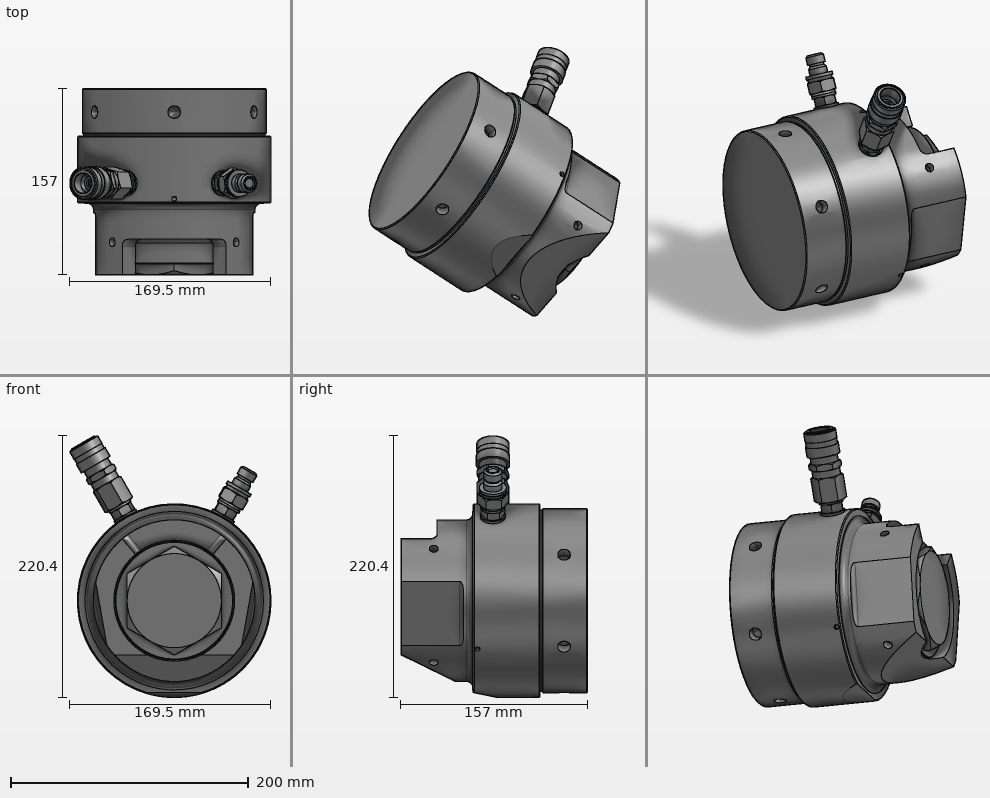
import cadquery as cq
import math

LENGTH = 157.0
OVERCUT = 11.0

COLLAR_RADIUS = 77.5
COLLAR_FRONT = 118.5
RELIEF_RADIUS = 76.5
BARREL_RADIUS = 81.5
BARREL_REAR = 116.8
BARREL_FRONT = 60.6
LAND_RADIUS = 75.2
LAND_FRONT = 60.2
NOSE_RADIUS = 68.1
NOSE_FILLET = 5.3
EDGE_CHAMFER = 0.9

BARREL_CUT_REAR = 81.0
BARREL_CUT_DEPTH = 4.2
NOSE_CUT_REAR = 45.9
NOSE_CUT_Z = -45.6

FLAT_DISTANCE = 62.5
FLAT_LENGTH = 52.5
FLAT_FILLET = 3.3
FLAT_TILT = 10.0

BORE_RADIUS = 51.0
BORE_DEPTH = 26.7
NUT_RADIUS = 49.8
NUT_FRONT = 9.3
NUT_CHAMFER = 0.7
HEX_FLAT_RADIUS = 39.7
HEX_CORNER_RADIUS = HEX_FLAT_RADIUS / math.cos(math.radians(30))
HEX_CHAMFER_ANGLE = 30.0

WINDOW_HALF_ANGLE = 40.0
WINDOW_DEPTH = 30.0
WINDOW_FILLET = 6.0
WINDOW_INNER_RADIUS = 22.0

COLLAR_HOLE_ANGLES = [0, 60, 120, 180, 240, 300]
COLLAR_HOLE_Y = 137.1
COLLAR_HOLE_DIAMETER = 10.5
COLLAR_HOLE_DEPTH = 11.0
NOSE_HOLE_ANGLES = [-140, -50, 50, 140]
NOSE_HOLE_Y = 27.3
NOSE_HOLE_DIAMETER = 7.3
NOSE_HOLE_DEPTH = 8.8
PIN_HOLE_ANGLES = [0, 120, 240]
PIN_HOLE_Y = 64.2
PIN_HOLE_DIAMETER = 4.0
PIN_HOLE_DEPTH = 3.3
DRILL_POINT_ANGLE = 118.0

FITTING_Y = 77.2
FITTING_LEAN = 30.0
FITTING_ROOT = 75.0
HEX_EDGE_BREAK_ANGLE = 30.0
FITTING_CORE_RADIUS = 7.7

SEAT_RADIUS = 10.5
SEAT_TOP = 83.1
STUB_HEX_RADIUS = 10.1
STUB_HEX_TOP = 90.5
STUB_RING_RADIUS = 10.4
STUB_TOP = 92.5

COUPLER_STUB_TURN = -15.0
COUPLER_HEX_TURN = 14.0
COUPLER_HEX_RADIUS = 13.9
LONG_HEX_TOP = 114.0
SHORT_HEX_BASE = 120.0
SHORT_HEX_TOP = 125.9
COUPLER_BODY_RADIUS = 12.0
COUPLER_NECK_RADIUS = 11.7
SLEEVE_BASE = 132.3
SLEEVE_GRIP_RADIUS = 14.0
SLEEVE_GRIP_TOP = 140.7
SLEEVE_GROOVE_RADIUS = 13.5
SLEEVE_GROOVE_TOP = 145.3
SLEEVE_RADIUS = 13.7
SLEEVE_BEVEL_BASE = 152.3
SLEEVE_FACE = 153.0
SLEEVE_FACE_RADIUS = 12.5
RIM_RADIUS = 11.2
RIM_TOP = 153.9
SOCKET_RADIUS = 8.4
SOCKET_FLOOR = 140.7
SOCKET_FLOOR_BEVEL = 2.2
SOCKET_MOUTH_BEVEL = 0.5
VALVE_RADIUS = 3.0
VALVE_HEIGHT = 1.8
VALVE_HOLE_DIAMETER = 3.0
VALVE_HOLE_DEPTH = 1.0

NIPPLE_TURN = 4.0
NIPPLE_HEX_RADIUS = 13.0
NIPPLE_HEX_BASE = 94.5
NIPPLE_HEX_TOP = 104.5
NIPPLE_BODY_RADIUS = 9.7
STOP_CONE_RADIUS = 10.1
STOP_RADIUS = 11.5
STOP_BASE = 107.4
STOP_TOP = 110.0
PLUG_RADIUS = 7.7
LATCH_SHOULDER = 115.3
LATCH_RADIUS = 6.2
LATCH_BASE = 117.3
LATCH_TOP = 119.3
PLUG_BEVEL_BASE = 125.7
PLUG_FACE_RADIUS = 6.0
PLUG_TOP = 127.2
RECESS_FLOOR_RADIUS = 4.0
RECESS_MOUTH_RADIUS = 4.9
RECESS_DEPTH = 1.0


def revolved(plane, points):
    """Revolves an outline about the plane's own vertical axis: Y for "XY", Z for "XZ"."""
    return cq.Workplane(plane).polyline(points).close().revolve(360, (0, 0, 0), (0, 1, 0))


def disc(radius, front, rear):
    """Cylinder about the main axis."""
    return cq.Workplane("XZ", origin=(0, rear, 0)).circle(radius).extrude(rear - front)


def body():
    collar = disc(COLLAR_RADIUS, COLLAR_FRONT, LENGTH).edges().chamfer(EDGE_CHAMFER)
    relief = disc(RELIEF_RADIUS, BARREL_REAR, COLLAR_FRONT)
    barrel = disc(BARREL_RADIUS, BARREL_FRONT, BARREL_REAR).edges().chamfer(EDGE_CHAMFER)
    cove_radius = NOSE_RADIUS + NOSE_FILLET
    cove_front = LAND_FRONT - NOSE_FILLET
    nose = (
        cq.Workplane("XY")
        .lineTo(NOSE_RADIUS, 0)
        .lineTo(NOSE_RADIUS, cove_front)
        .radiusArc((cove_radius, LAND_FRONT), NOSE_FILLET)
        .lineTo(LAND_RADIUS, LAND_FRONT)
        .lineTo(LAND_RADIUS, BARREL_FRONT)
        .lineTo(0, BARREL_FRONT)
        .close()
        .revolve(360, (0, 0, 0), (0, 1, 0))
    )
    return collar.union(relief).union(barrel).union(nose)


def underside_cut(front, front_z, rear, rear_z):
    """Removes what lies below the sloping line from front to rear."""
    floor = -BARREL_RADIUS - OVERCUT
    return (
        cq.Workplane("YZ")
        .polyline([(front, front_z), (rear, rear_z), (rear, floor), (front, floor)])
        .close()
        .extrude(BARREL_RADIUS, both=True)
    )


def spanner_flat(side):
    """Cutter for one flat; side is +1 for +X and -1 for -X."""
    thickness = OVERCUT + NOSE_RADIUS - FLAT_DISTANCE
    cutter = (
        cq.Workplane("XY")
        .box(thickness, FLAT_LENGTH, 2 * NOSE_RADIUS, centered=(False, False, True))
        .edges("<X and >Y")
        .fillet(FLAT_FILLET)
        .translate((FLAT_DISTANCE, 0, 0))
        .rotate((0, 0, 0), (0, 1, 0), FLAT_TILT)
    )
    return cutter if side > 0 else cutter.mirror("YZ")


def window():
    """Sector-shaped cutter whose walls run radially."""
    reach = NOSE_RADIUS + OVERCUT
    slope = math.tan(math.radians(WINDOW_HALF_ANGLE))
    low = WINDOW_INNER_RADIUS
    outline = [(-low * slope, low), (-reach * slope, reach), (reach * slope, reach), (low * slope, low)]
    return (
        cq.Workplane("XZ", origin=(0, WINDOW_DEPTH, 0))
        .polyline(outline)
        .close()
        .extrude(WINDOW_DEPTH + OVERCUT)
        .faces(">Y")
        .edges("not |X")
        .fillet(WINDOW_FILLET)
        .cut(disc(BORE_RADIUS, -OVERCUT, WINDOW_DEPTH))
    )


def nut():
    shoulder = disc(NUT_RADIUS, NUT_FRONT, BORE_DEPTH).faces("<Y").edges().chamfer(NUT_CHAMFER)
    hexagon = (
        cq.Workplane("XZ", origin=(0, NUT_FRONT, 0))
        .transformed(rotate=(0, 0, 90))
        .polygon(6, 2 * HEX_CORNER_RADIUS)
        .extrude(NUT_FRONT)
    )
    cone_spread = NUT_FRONT * math.tan(math.radians(90 - HEX_CHAMFER_ANGLE))
    cone_base = HEX_FLAT_RADIUS + cone_spread
    cone = revolved("XY", [(0, 0), (HEX_FLAT_RADIUS, 0), (cone_base, NUT_FRONT), (0, NUT_FRONT)])
    return shoulder.union(hexagon.intersect(cone))


def radial_holes(angles, y, diameter, depth, surface_radius):
    """Blind drilled holes pointing at the main axis."""
    radius = diameter / 2
    bottom = surface_radius - depth
    tip = bottom - radius / math.tan(math.radians(DRILL_POINT_ANGLE / 2))
    top = surface_radius + OVERCUT
    drill = revolved("XZ", [(0, tip), (radius, bottom), (radius, top), (0, top)]).translate((0, y, 0))
    holes = cq.Workplane("XY")
    for angle in angles:
        holes = holes.add(drill.rotate((0, 0, 0), (0, 1, 0), angle))
    return holes.combine()


def turned(points):
    """Solid of revolution about Z from (radius, height) points, closed along the axis."""
    return revolved("XZ", [(0, points[0][1])] + points + [(0, points[-1][1])])


def fitting_hex(corner_radius, low, high, turn):
    """Hex section with broken corners; turn is the angle of one corner from -Y toward +X."""
    flat_radius = corner_radius * math.cos(math.radians(30))
    drop = (corner_radius - flat_radius) * math.tan(math.radians(HEX_EDGE_BREAK_ANGLE))
    prism = (
        cq.Workplane("XY", origin=(0, 0, low))
        .transformed(rotate=(0, 0, turn - 90))
        .polygon(6, 2 * corner_radius)
        .extrude(high - low)
    )
    envelope = turned(
        [(flat_radius, low), (corner_radius, low + drop), (corner_radius, high - drop), (flat_radius, high)]
    )
    return prism.intersect(envelope)


def place_fitting(fitting, lean):
    return fitting.rotate((0, 0, 0), (0, 1, 0), lean).translate((0, FITTING_Y, 0))


def stub(hex_turn):
    """Seat, small hex and ring that carry a fitting on the barrel."""
    core = turned([
        (SEAT_RADIUS, FITTING_ROOT),
        (SEAT_RADIUS, SEAT_TOP),
        (FITTING_CORE_RADIUS, SEAT_TOP),
        (FITTING_CORE_RADIUS, STUB_HEX_TOP),
        (STUB_RING_RADIUS, STUB_HEX_TOP),
        (STUB_RING_RADIUS, STUB_TOP),
    ])
    return core.union(fitting_hex(STUB_HEX_RADIUS, SEAT_TOP, STUB_HEX_TOP, hex_turn))


def coupler():
    """Quick-coupling socket."""
    core = turned([
        (COUPLER_BODY_RADIUS, STUB_TOP),
        (COUPLER_BODY_RADIUS, SHORT_HEX_BASE),
        (COUPLER_NECK_RADIUS, SHORT_HEX_BASE),
        (COUPLER_NECK_RADIUS, SLEEVE_BASE),
        (SLEEVE_GRIP_RADIUS, SLEEVE_BASE),
        (SLEEVE_GRIP_RADIUS, SLEEVE_GRIP_TOP),
        (SLEEVE_GROOVE_RADIUS, SLEEVE_GRIP_TOP),
        (SLEEVE_GROOVE_RADIUS, SLEEVE_GROOVE_TOP),
        (SLEEVE_RADIUS, SLEEVE_GROOVE_TOP),
        (SLEEVE_RADIUS, SLEEVE_BEVEL_BASE),
        (SLEEVE_FACE_RADIUS, SLEEVE_FACE),
        (RIM_RADIUS, SLEEVE_FACE),
        (RIM_RADIUS, RIM_TOP),
    ])
    socket = turned([
        (SOCKET_RADIUS - SOCKET_FLOOR_BEVEL, SOCKET_FLOOR),
        (SOCKET_RADIUS, SOCKET_FLOOR + SOCKET_FLOOR_BEVEL),
        (SOCKET_RADIUS, RIM_TOP - SOCKET_MOUTH_BEVEL),
        (SOCKET_RADIUS + SOCKET_MOUTH_BEVEL, RIM_TOP),
    ])
    valve_tip = (
        cq.Workplane("XY", origin=(0, 0, SOCKET_FLOOR))
        .circle(VALVE_RADIUS)
        .extrude(VALVE_HEIGHT)
        .faces(">Z")
        .workplane()
        .hole(VALVE_HOLE_DIAMETER, VALVE_HOLE_DEPTH)
    )
    return (
        stub(COUPLER_STUB_TURN)
        .union(core)
        .union(fitting_hex(COUPLER_HEX_RADIUS, STUB_TOP, LONG_HEX_TOP, COUPLER_HEX_TURN))
        .union(fitting_hex(COUPLER_HEX_RADIUS, SHORT_HEX_BASE, SHORT_HEX_TOP, COUPLER_HEX_TURN))
        .cut(socket)
        .union(valve_tip)
    )


def nipple():
    """Quick-coupling plug."""
    core = turned([
        (STUB_RING_RADIUS, STUB_TOP),
        (NIPPLE_BODY_RADIUS, NIPPLE_HEX_BASE),
        (NIPPLE_BODY_RADIUS, NIPPLE_HEX_TOP),
        (STOP_CONE_RADIUS, NIPPLE_HEX_TOP),
        (SEAT_RADIUS, STOP_BASE),
        (STOP_RADIUS, STOP_BASE),
        (STOP_RADIUS, STOP_TOP),
        (PLUG_RADIUS, STOP_TOP),
        (PLUG_RADIUS, LATCH_SHOULDER),
        (LATCH_RADIUS, LATCH_BASE),
        (LATCH_RADIUS, LATCH_TOP),
        (PLUG_RADIUS, LATCH_TOP),
        (PLUG_RADIUS, PLUG_BEVEL_BASE),
        (PLUG_FACE_RADIUS, PLUG_TOP),
    ])
    recess = turned([(RECESS_FLOOR_RADIUS, PLUG_TOP - RECESS_DEPTH), (RECESS_MOUTH_RADIUS, PLUG_TOP)])
    return (
        stub(NIPPLE_TURN)
        .union(core)
        .union(fitting_hex(NIPPLE_HEX_RADIUS, NIPPLE_HEX_BASE, NIPPLE_HEX_TOP, NIPPLE_TURN))
        .cut(recess)
    )


barrel_cut = underside_cut(
    BARREL_FRONT, BARREL_CUT_DEPTH - BARREL_RADIUS, BARREL_CUT_REAR, -BARREL_RADIUS
)
nose_cut = underside_cut(0, NOSE_CUT_Z, NOSE_CUT_REAR, -NOSE_RADIUS)
collar_holes = radial_holes(
    COLLAR_HOLE_ANGLES, COLLAR_HOLE_Y, COLLAR_HOLE_DIAMETER, COLLAR_HOLE_DEPTH, COLLAR_RADIUS
)
nose_holes = radial_holes(
    NOSE_HOLE_ANGLES, NOSE_HOLE_Y, NOSE_HOLE_DIAMETER, NOSE_HOLE_DEPTH, NOSE_RADIUS
)
pin_holes = radial_holes(
    PIN_HOLE_ANGLES, PIN_HOLE_Y, PIN_HOLE_DIAMETER, PIN_HOLE_DEPTH, BARREL_RADIUS
)

result = (
    body()
    .cut(barrel_cut)
    .cut(nose_cut)
    .cut(spanner_flat(1))
    .cut(spanner_flat(-1))
    .cut(disc(BORE_RADIUS, 0, BORE_DEPTH))
    .cut(window())
    .cut(collar_holes)
    .cut(nose_holes)
    .cut(pin_holes)
    .union(nut())
    .union(place_fitting(coupler(), -FITTING_LEAN))
    .union(place_fitting(nipple(), FITTING_LEAN))
)